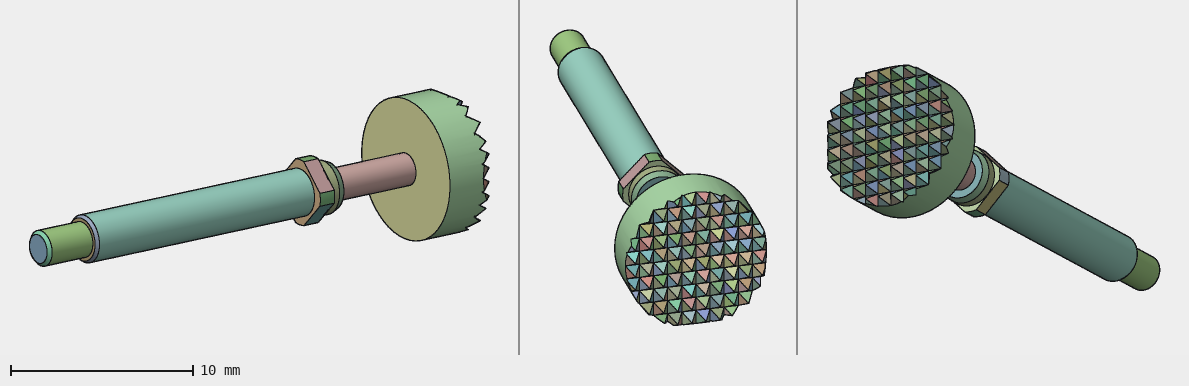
import cadquery as cq
import math

total_length = 28.3
head_diameter = 8.0
head_length = 3.0
teeth_across = 10
groove_angle = 60.0

stem_diameter = 1.85
stem_length = 5.3

collar_diameter = 3.05
collar_length = 1.02
collar_bevel_width = 0.17
collar_bevel_length = 0.42

nut_across_flats = 3.1
nut_across_corners = 3.74
nut_length = 1.0

barrel_diameter = 2.7
barrel_bevel_width = 0.15
barrel_bevel_length = 0.2
tip_diameter = 2.0
tip_length = 3.0
tip_chamfer = 0.2

barrel_start = tip_length
head_back = total_length - head_length
collar_top = head_back - stem_length
nut_top = collar_top - collar_length
nut_start = nut_top - nut_length

tooth_pitch = head_diameter / teeth_across
tooth_depth = tooth_pitch / 2 / math.tan(math.radians(groove_angle / 2))


def cylinder(diameter, start, end):
    """Solid cylinder about the Y axis between two stations."""
    disc = cq.Workplane("XZ", origin=(0, start, 0)).circle(diameter / 2)
    return disc.extrude(start - end)


def ridged_block():
    """Block whose +Y side is a row of sharp ridges running along Z."""
    half_width = head_diameter / 2
    points = [(half_width, head_back), (-half_width, head_back)]
    for index in range(teeth_across):
        valley = -half_width + index * tooth_pitch
        points.append((valley, total_length - tooth_depth))
        points.append((valley + tooth_pitch / 2, total_length))
    points.append((half_width, total_length - tooth_depth))
    return cq.Workplane("XY").polyline(points).close().extrude(half_width, both=True)


def serrated_head():
    """Round head whose face is cut into pyramids by two crossing sets of grooves."""
    ridges = ridged_block()
    crossing_ridges = ridges.rotate((0, 0, 0), (0, 1, 0), 90)
    blank = cylinder(head_diameter, head_back, total_length)
    return blank.intersect(ridges).intersect(crossing_ridges)


def collar():
    """Round collar above the nut with a steep bevel on its upper edge."""
    body = cylinder(collar_diameter, nut_top, collar_top)
    return body.faces(">Y").edges().chamfer(collar_bevel_length, collar_bevel_width)


def barrel():
    """Long round barrel with a steep bevel where it meets the tip."""
    body = cylinder(barrel_diameter, barrel_start, nut_start)
    return body.faces("<Y").edges().chamfer(barrel_bevel_length, barrel_bevel_width)


def square_nut():
    """Square standing on its corner, with the corners turned round."""
    turned = cylinder(nut_across_corners, nut_start, nut_top)
    square = (
        cq.Workplane("XZ", origin=(0, nut_start, 0))
        .rect(nut_across_flats, nut_across_flats)
        .extrude(-nut_length)
        .rotate((0, 0, 0), (0, 1, 0), 45)
    )
    return turned.intersect(square)


stem = cylinder(stem_diameter, collar_top, head_back)
tip = cylinder(tip_diameter, 0, barrel_start).faces("<Y").edges().chamfer(tip_chamfer)

result = serrated_head()
for section in (stem, collar(), square_nut(), barrel(), tip):
    result = result.union(section)